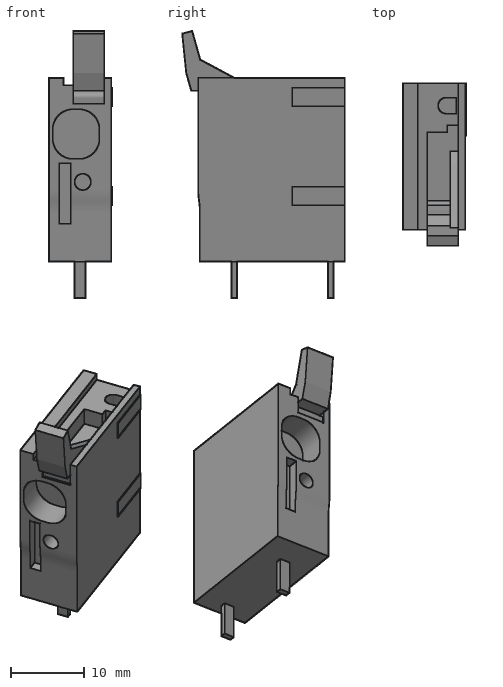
import cadquery as cq

WIDTH = 8.52
DEPTH = 20.0
HEIGHT = 25.0

STEP_SETBACK = 0.22
STEP_BOTTOM_Z = 6.85
STEP_HEIGHT = 2.85

CHANNEL_LEFT_X = 2.0
CHANNEL_RIGHT_X = 7.57
CHANNEL_FLOOR_Z = 24.03
CAVITY_LEFT_X = 3.3
CAVITY_FLOOR_Z = 21.52
CAVITY_BACK_Y = 13.3
CAVITY_NOTCH_X = 6.05
CAVITY_NOTCH_BACK_Y = 14.27

D_POCKET_FLAT_X = 7.25
D_POCKET_LENGTH = 2.45
D_POCKET_WIDTH = 2.2
D_POCKET_Y = 16.93

PORT_X = 3.7
PORT_Z = 17.35
PORT_WIDTH = 6.37
PORT_HEIGHT = 6.77
PORT_CORNER_RADIUS = 2.75
PORT_DEPTH = 4.0
HOLE_X = 4.62
HOLE_Z = 10.85
HOLE_DIAMETER = 2.22
SLOT_LEFT_X = 1.42
SLOT_WIDTH = 1.55
SLOT_BOTTOM_Z = 5.17
SLOT_HEIGHT = 8.23
SLOT_DEPTH = 1.55

PIN_WIDTH = 1.53
PIN_THICKNESS = 0.8
PIN_LENGTH = 5.0
PIN_CENTRE_YS = (4.9, 18.05)

PAD_HEIGHT = 2.5
PAD_THICKNESS = 0.1
PAD_LENGTH = 7.17
PAD_CENTRE_ZS = (8.92, 22.4)

LEVER_TOP_Z = 36.4 - PIN_LENGTH
ARM_WIDTH = 1.1

FINGER_TOP_BACK = (-0.8, LEVER_TOP_Z)
FINGER_TIP = (-2.2, 31.05)
FINGER_BEND = (-1.65, 25.7)
FINGER_BOTTOM_Z = 23.25
FINGER_BOTTOM_FRONT = (-0.95, FINGER_BOTTOM_Z)
FINGER_BOTTOM_BACK = (1.2, FINGER_BOTTOM_Z)

FOOT_FRONT = (0.3, CAVITY_FLOOR_Z)
SHOULDER_START = (0.25, 22.3)
SHOULDER_END = (0.62, 22.95)
FOOT_BACK_Y = 4.0
FOOT_TOP_BACK = (FOOT_BACK_Y, 23.6)
FOOT_TOP_MIDDLE = (3.35, 24.65)
FOOT_TOP_FRONT = (2.7, 24.72)
FOOT_VALLEY = (2.05, 24.75)
FINGER_KNEE = (0.6, 26.47)

ARM_ROOT = (0, 27.67)
ARM_BEND = (8.92, 22.9)
ARM_END_Y = 10.7


def box(x_range, y_range, z_range):
    """Box given by its (low, high) limits along each axis."""
    (x0, x1), (y0, y1), (z0, z1) = x_range, y_range, z_range
    return cq.Workplane("XY").box(x1 - x0, y1 - y0, z1 - z0, centered=False).translate((x0, y0, z0))


def make_block():
    """Main block, extruded from its side profile with the ogee front step."""
    step_top_z = STEP_BOTTOM_Z + STEP_HEIGHT
    middle = (STEP_SETBACK / 2, STEP_BOTTOM_Z + STEP_HEIGHT / 2)
    return (
        cq.Workplane("YZ")
        .moveTo(DEPTH, 0)
        .lineTo(DEPTH, HEIGHT)
        .lineTo(0, HEIGHT)
        .lineTo(0, step_top_z)
        .tangentArcPoint(middle, relative=False)
        .tangentArcPoint((STEP_SETBACK, STEP_BOTTOM_Z), relative=False)
        .lineTo(STEP_SETBACK, 0)
        .close()
        .extrude(WIDTH)
    )


def make_top_recess():
    """Guide channel plus the stepped lever cavity, open to the front."""
    channel = box((CHANNEL_LEFT_X, CHANNEL_RIGHT_X), (0, DEPTH), (CHANNEL_FLOOR_Z, HEIGHT))
    cavity_z = (CAVITY_FLOOR_Z, HEIGHT)
    cavity = box((CAVITY_LEFT_X, CHANNEL_RIGHT_X), (0, CAVITY_BACK_Y), cavity_z)
    notch = box((CAVITY_NOTCH_X, CHANNEL_RIGHT_X), (0, CAVITY_NOTCH_BACK_Y), cavity_z)
    return channel.union(cavity).union(notch)


def make_d_pocket():
    """Pocket with a rounded left end and a flat right end."""
    radius = D_POCKET_WIDTH / 2
    arc_x = D_POCKET_FLAT_X - D_POCKET_LENGTH + radius
    return (
        cq.Workplane("XY", origin=(0, D_POCKET_Y, CAVITY_FLOOR_Z))
        .moveTo(D_POCKET_FLAT_X, -radius)
        .lineTo(D_POCKET_FLAT_X, radius)
        .lineTo(arc_x, radius)
        .threePointArc((arc_x - radius, 0), (arc_x, -radius))
        .close()
        .extrude(CHANNEL_FLOOR_Z - CAVITY_FLOOR_Z)
    )


def make_front_openings():
    """Rounded port, round hole and upright slot, all cut from the front face."""
    port = (
        box(
            (PORT_X - PORT_WIDTH / 2, PORT_X + PORT_WIDTH / 2),
            (0, PORT_DEPTH),
            (PORT_Z - PORT_HEIGHT / 2, PORT_Z + PORT_HEIGHT / 2),
        )
        .edges("|Y")
        .fillet(PORT_CORNER_RADIUS)
    )
    hole = (
        cq.Workplane("XZ", origin=(HOLE_X, 0, HOLE_Z))
        .circle(HOLE_DIAMETER / 2)
        .extrude(-PORT_DEPTH)
    )
    slot = box(
        (SLOT_LEFT_X, SLOT_LEFT_X + SLOT_WIDTH),
        (0, SLOT_DEPTH),
        (SLOT_BOTTOM_Z, SLOT_BOTTOM_Z + SLOT_HEIGHT),
    )
    return port.union(hole).union(slot)


def make_housing():
    housing = make_block().cut(make_top_recess()).cut(make_d_pocket()).cut(make_front_openings())
    pin_x = ((WIDTH - PIN_WIDTH) / 2, (WIDTH + PIN_WIDTH) / 2)
    for y in PIN_CENTRE_YS:
        pin_y = (y - PIN_THICKNESS / 2, y + PIN_THICKNESS / 2)
        housing = housing.union(box(pin_x, pin_y, (-PIN_LENGTH, 0)))
    for z in PAD_CENTRE_ZS:
        pad_z = (z - PAD_HEIGHT / 2, z + PAD_HEIGHT / 2)
        housing = housing.union(box((WIDTH, WIDTH + PAD_THICKNESS), (DEPTH - PAD_LENGTH, DEPTH), pad_z))
    return housing


def make_lever():
    """Finger and foot across the full cavity width, with a thin sloping arm behind them."""
    finger_and_foot = (
        cq.Workplane("YZ", origin=(CAVITY_LEFT_X, 0, 0))
        .moveTo(*FOOT_FRONT)
        .lineTo(*SHOULDER_START)
        .tangentArcPoint(SHOULDER_END, relative=False)
        .lineTo(*FINGER_BOTTOM_BACK)
        .lineTo(*FINGER_BOTTOM_FRONT)
        .lineTo(*FINGER_BEND)
        .lineTo(*FINGER_TIP)
        .lineTo(*FINGER_TOP_BACK)
        .lineTo(*FINGER_KNEE)
        .lineTo(*FOOT_VALLEY)
        .lineTo(*FOOT_TOP_FRONT)
        .lineTo(*FOOT_TOP_MIDDLE)
        .lineTo(*FOOT_TOP_BACK)
        .lineTo(FOOT_BACK_Y, CAVITY_FLOOR_Z)
        .close()
        .extrude(CHANNEL_RIGHT_X - CAVITY_LEFT_X)
    )
    arm = (
        cq.Workplane("YZ", origin=(CHANNEL_RIGHT_X - ARM_WIDTH, 0, 0))
        .moveTo(*ARM_ROOT)
        .lineTo(*ARM_BEND)
        .lineTo(ARM_END_Y, CAVITY_FLOOR_Z)
        .lineTo(FOOT_BACK_Y, CAVITY_FLOOR_Z)
        .lineTo(*FINGER_BOTTOM_BACK)
        .close()
        .extrude(ARM_WIDTH)
    )
    return finger_and_foot.union(arm)


housing = make_housing()
lever = make_lever()
result = cq.Compound.makeCompound([housing.val(), lever.val()])